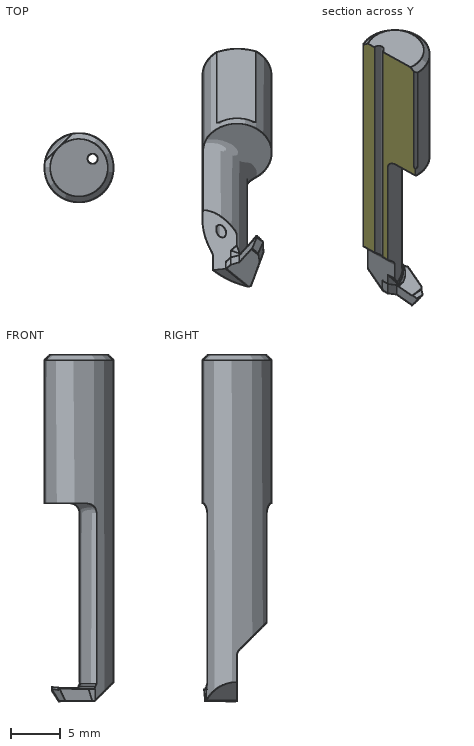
import cadquery as cq
import math

total_length = 35.0
shank_diameter = 7.0
shank_radius = shank_diameter / 2
shank_bottom = 20.0
top_chamfer_width = 0.6
top_chamfer_height = 0.55

flat_distance = 2.9
flat_bottom = 21.0
flat_corner_radius = 0.2
flat_angle = 135.0

coolant_diameter = 1.0
coolant_x = 1.38
coolant_y = 0.9

neck_offset = 3.54
neck_radius = 3.5
shoulder_fillet = 0.95

foot_cone_top = 1.82
foot_cone_bottom = 1.58
foot_collar_width = 0.12
foot_fillet = 0.2
foot_bottom = 1.36

relief_floor = 5.0
relief_blend_radius = 1.0

bevel_start_x = 1.5

head_top = 1.42
head_back_x = 1.645
top_clearance = 0.05
land_top = 1.52
nose_limit_x = -2.75
land_end_x = -2.1
land_clearance = 0.2
bottom_relief_height = 0.06
bottom_relief_length = 0.15
profile_height = 1.2
lower_flank = [(-2.04, 0), (-1.97, -1.03), (-1.31, -1.87), (1.36, -3.23)]
upper_flank = [(-2.78, 0), (-2.69, -1.03), (-1.90, -1.87), (1.00, -3.33)]
head_back_y = -math.sqrt(shank_radius**2 - head_back_x**2)

groove_edge_depth = 0.1
groove_depth = 0.42
groove_deepest_x = 0.1
groove_end_x = 0.9
groove_runout_start = 1.75
groove_runout_end = 2.7

margin = 2.0
reach = shank_radius + margin


def cylinder(radius, x, y, bottom, top):
    return cq.Workplane("XY", origin=(x, y, bottom)).circle(radius).extrude(top - bottom)


def prism_along_x(points, start_x, end_x):
    """Extrude a (y, z) outline along X."""
    return cq.Workplane("YZ", origin=(start_x, 0, 0)).polyline(points).close().extrude(end_x - start_x)


def above_sloping_plane(height, clearance, start_x, end_x):
    """Space above a plane that passes through y = 0 at the height and falls toward -Y."""
    points = [
        (-reach, height - clearance * reach),
        (reach, height + clearance * reach),
        (reach, total_length),
        (-reach, total_length),
    ]
    return prism_along_x(points, start_x, end_x)


def clamping_flat():
    width = shank_diameter
    block = (
        cq.Workplane("XY", origin=(flat_distance + width / 2, 0, flat_bottom))
        .box(width, 2 * width, total_length, centered=(True, True, False))
        .edges("<X and <Z")
        .fillet(flat_corner_radius)
    )
    return block.rotate((0, 0, 0), (0, 0, 1), flat_angle)


def neck_envelope():
    """Turned envelope about the offset neck axis, flared at the shoulder and at the head."""
    diagonal = 1 - math.sqrt(0.5)
    collar_radius = neck_radius + foot_collar_width
    foot_radius = collar_radius + foot_fillet
    shoulder_radius = neck_radius + shoulder_fillet
    full_radius = neck_offset + reach
    return (
        cq.Workplane("XZ", origin=(neck_offset, 0, 0))
        .lineTo(foot_radius, 0)
        .lineTo(foot_radius, foot_bottom)
        .threePointArc(
            (collar_radius + diagonal * foot_fillet, foot_bottom + diagonal * foot_fillet),
            (collar_radius, foot_bottom + foot_fillet),
        )
        .lineTo(collar_radius, foot_cone_bottom)
        .lineTo(neck_radius, foot_cone_top)
        .lineTo(neck_radius, shank_bottom - shoulder_fillet)
        .threePointArc(
            (neck_radius + diagonal * shoulder_fillet, shank_bottom - diagonal * shoulder_fillet),
            (shoulder_radius, shank_bottom),
        )
        .lineTo(full_radius, shank_bottom)
        .lineTo(full_radius, total_length)
        .lineTo(0, total_length)
        .close()
        .revolve(360, (0, 0, 0), (0, 1, 0))
    )


def front_relief():
    points = [
        (0, -margin),
        (0, relief_floor),
        (reach, relief_floor + reach),
        (reach, -margin),
    ]
    relief = prism_along_x(points, -reach, reach)
    inner_corner = cq.selectors.NearestToPointSelector((0, 0, relief_floor))
    return relief.edges(inner_corner).fillet(relief_blend_radius)


def corner_bevel():
    return (
        cq.Workplane("XZ", origin=(0, reach, 0))
        .polyline([(bevel_start_x - margin, -margin), (reach, -margin), (reach, reach - bevel_start_x)])
        .close()
        .extrude(2 * reach)
    )


def bottom_relief():
    """Shallow cut under the head that leaves only the nose at full depth."""
    nose_x = lower_flank[0][0]
    relief_start_x = nose_x + bottom_relief_length
    return (
        cq.Workplane("XZ", origin=(0, reach, 0))
        .polyline([
            (nose_x, 0),
            (relief_start_x, bottom_relief_height),
            (reach, bottom_relief_height),
            (reach, -margin),
            (nose_x, -margin),
        ])
        .close()
        .extrude(2 * reach)
    )


def chip_groove():
    """V-shaped hollow behind the cutting edge that runs out up the neck."""
    plan = (
        cq.Workplane("XY", origin=(0, 0, -margin))
        .moveTo(upper_flank[0][0] - margin, margin)
        .lineTo(upper_flank[0][0] - margin, -groove_edge_depth)
        .lineTo(upper_flank[0][0], -groove_edge_depth)
        .lineTo(groove_deepest_x, -groove_depth)
        .lineTo(groove_end_x, 0)
        .lineTo(groove_end_x, margin)
        .close()
        .extrude(total_length)
    )
    runout_points = [
        (margin, -margin),
        (-groove_depth, -margin),
        (-groove_depth, groove_runout_start),
        (0, groove_runout_end),
        (margin, groove_runout_end),
    ]
    return plan.intersect(prism_along_x(runout_points, -2 * reach, reach))


def make_holder():
    shank = cylinder(shank_radius, 0, 0, 0, total_length)
    shank = shank.faces(">Z").chamfer(top_chamfer_height, top_chamfer_width)
    head_seat = cq.Workplane("XY").box(
        head_back_x + reach, 2 * reach, total_length, centered=False
    ).translate((-reach, -reach, -margin))
    head_seat = head_seat.cut(above_sloping_plane(head_top, top_clearance, -reach, reach))
    return (
        shank.intersect(neck_envelope())
        .cut(clamping_flat())
        .cut(cylinder(coolant_diameter / 2, coolant_x, coolant_y, 0, total_length))
        .cut(front_relief())
        .cut(corner_bevel())
        .cut(head_seat)
        .cut(chip_groove())
    )


def make_cutting_head():
    back = [(head_back_x, head_back_y), (head_back_x, 0)]
    growth = land_top / profile_height
    top_flank = [
        (low[0] + growth * (high[0] - low[0]), low[1] + growth * (high[1] - low[1]))
        for low, high in zip(lower_flank, upper_flank)
    ]
    blank = (
        cq.Workplane("XY")
        .polyline(lower_flank + back)
        .close()
        .workplane(offset=land_top)
        .polyline(top_flank + back)
        .close()
        .loft(ruled=True)
    )
    trim_center_x = nose_limit_x - margin / 2
    nose_trim = cq.Workplane("XY", origin=(trim_center_x, 0, 0)).box(margin, 2 * reach, 2 * reach)
    return (
        blank.cut(nose_trim)
        .cut(above_sloping_plane(head_top, top_clearance, land_end_x, reach))
        .cut(above_sloping_plane(land_top, land_clearance, -reach, land_end_x))
        .cut(bottom_relief())
        .cut(corner_bevel())
        .cut(chip_groove())
    )


holder = make_holder()
cutting_head = make_cutting_head()
result = cq.Compound.makeCompound([*holder.solids().vals(), *cutting_head.solids().vals()])